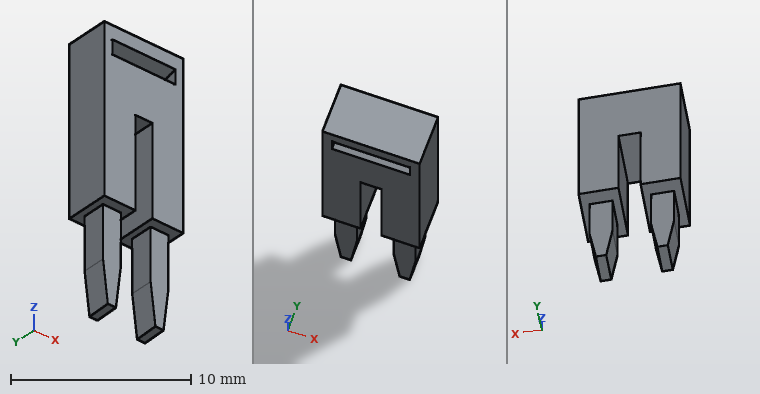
import cadquery as cq

body_width = 5.75
body_depth = 3.0
total_height = 18.23
body_height = 11.67
body_bottom = total_height - body_height

slot_width = 1.24
slot_height = 6.38

pin_spacing = 3.46
pin_width = 1.3
pin_depth = 1.59
pin_offset_y = -0.02
tip_width = 0.58
taper_height = 2.9
tip_rise = 0.05

recess_width = 4.6
recess_top = total_height - 0.97
recess_height = 1.0
recess_ceiling_drop = 0.27
recess_floor_rise = 0.36
recess_depth = 1.0


def make_housing():
    housing = cq.Workplane("XY").box(
        body_width, body_depth, body_height, centered=(True, True, False)
    )
    slot = cq.Workplane("XY").box(
        slot_width, body_depth, slot_height, centered=(True, True, False)
    )
    return housing.cut(slot).translate((0, 0, body_bottom))


def make_recess():
    front = -body_depth / 2
    return (
        cq.Workplane("YZ")
        .moveTo(front, recess_top)
        .lineTo(front + recess_depth, recess_top - recess_ceiling_drop)
        .lineTo(front + recess_depth, recess_top - recess_height + recess_floor_rise)
        .lineTo(front, recess_top - recess_height)
        .close()
        .extrude(recess_width / 2, both=True)
    )


def make_pin(center_x):
    half_pin = pin_width / 2
    half_tip = tip_width / 2
    pin = (
        cq.Workplane("XZ")
        .polyline([
            (-half_pin, body_bottom),
            (-half_pin, taper_height),
            (-half_tip, 0),
            (half_tip, 0),
            (half_pin, taper_height),
            (half_pin, body_bottom),
        ])
        .close()
        .extrude(pin_depth / 2, both=True)
    )
    end_wedge = (
        cq.Workplane("YZ")
        .polyline([(-pin_depth / 2, 0), (-pin_depth / 2, tip_rise), (pin_depth / 2, 0)])
        .close()
        .extrude(pin_width / 2, both=True)
    )
    return pin.cut(end_wedge).translate((center_x, pin_offset_y, 0))


result = make_housing().cut(make_recess())
for side in (-1, 1):
    result = result.union(make_pin(side * pin_spacing / 2))